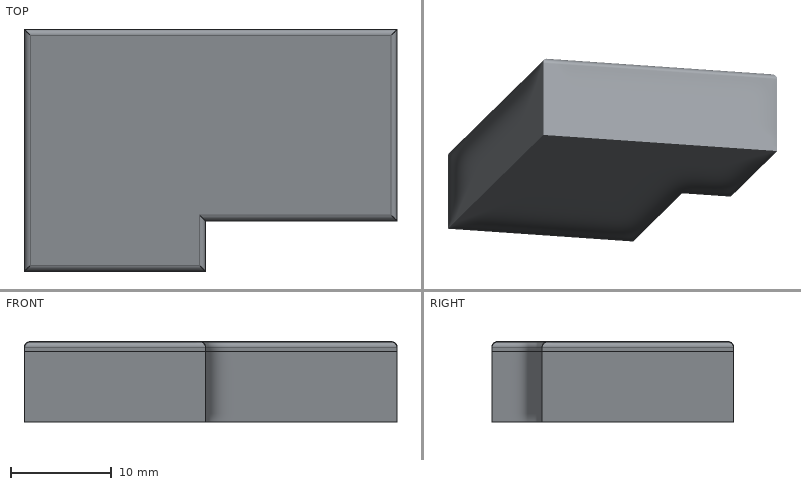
import cadquery as cq

length = 37.0
width = 24.0
height = 8.0

foot_length = 18.0
notch_depth = 5.0

cover_thickness = 1.0
edge_radius = 0.6
block_height = height - cover_thickness


def notched_plate(bottom, thickness):
    """Plate with the notched outline, standing on the height `bottom`."""
    return (
        cq.Workplane("XY", origin=(0, 0, bottom))
        .moveTo(0, 0)
        .lineTo(foot_length, 0)
        .lineTo(foot_length, notch_depth)
        .lineTo(length, notch_depth)
        .lineTo(length, width)
        .lineTo(0, width)
        .close()
        .extrude(thickness)
    )


def make_block():
    """Plain block below the cover."""
    return notched_plate(0, block_height)


def make_cover():
    """Cover with its whole top rim rounded."""
    return notched_plate(block_height, cover_thickness).faces(">Z").edges().fillet(edge_radius)


block = make_block()
cover = make_cover()

result = cq.Compound.makeCompound([block.val(), *cover.solids().vals()])